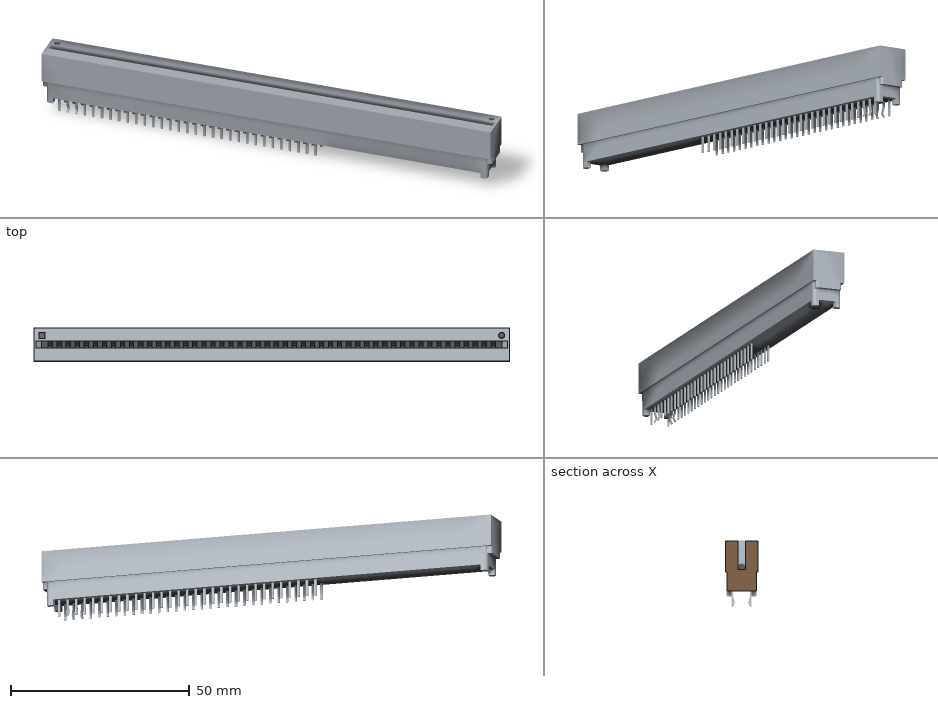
import cadquery as cq


length = 133.6
width = 9.35
total_height = 18.67
pin_tip_z = -2.97
top_z = total_height + pin_tip_z

head_height = 8.85
flange_drop = 10.86
base_drop = 14.08
head_bottom_z = top_z - head_height
flange_bottom_z = top_z - flange_drop
base_bottom_z = top_z - base_drop

base_length = 131.0
base_width = 8.4
base_corner_radius = 0.9
flange_width = 7.6
flange_corner_radius = 0.65
foot_length = 1.95
foot_width = 1.75

groove_length = 132.4
groove_width = 2.0
groove_depth = 8.0
ramp_run = 1.55

pitch = 2.54
well_count = 50
well_length = 1.2
well_bottom_width = 0.4
well_depth = 1.28
first_contact_x = -(well_count - 1) * pitch / 2

mark_x = 64.55
mark_y = 2.6
mark_size = 1.65
mark_depth = 2.0

pin_count = 31
pin_width = 0.65
pin_thickness = 0.4
pin_row_y = 2.54
pin_embed = 1.0
kinked_pins = (1, 2)
kink_start_z = -0.2
kink_crest_z = -1.9
kink_end_z = -2.75
kink_offset = 0.5


def block(size_x, size_y, bottom, top):
    """Box centred on the Z axis between two levels."""
    box = cq.Workplane("XY").box(size_x, size_y, top - bottom, centered=(True, True, False))
    return box.translate((0, 0, bottom))


def make_feet():
    """Four corner feet that share the rounded corners of the lower housing."""
    feet = block(base_length, base_width, 0, base_bottom_z).edges("|Z").fillet(base_corner_radius)
    feet = feet.cut(block(base_length - 2 * foot_length, base_width, 0, base_bottom_z))
    return feet.cut(block(base_length, base_width - 2 * foot_width, 0, base_bottom_z))


def make_housing():
    """Wide head over a narrower base, with end flanges and corner feet."""
    head = block(length, width, head_bottom_z, top_z)
    base = block(base_length, base_width, base_bottom_z, head_bottom_z)
    base = base.edges("|Z").fillet(base_corner_radius)
    flange = block(length, flange_width, flange_bottom_z, head_bottom_z)
    flange = flange.edges("|Z").fillet(flange_corner_radius)
    return head.union(base).union(flange).union(make_feet())


def make_groove():
    """Card groove profile in XZ, swept over the groove width."""
    half_top = groove_length / 2
    half_floor = half_top - ramp_run
    ramp_end_z = top_z - ramp_run
    floor_z = top_z - groove_depth
    outline = [
        (-half_top, top_z),
        (-half_floor, ramp_end_z),
        (-half_floor, floor_z),
        (half_floor, floor_z),
        (half_floor, ramp_end_z),
        (half_top, top_z),
    ]
    return cq.Workplane("XZ").polyline(outline).close().extrude(groove_width / 2, both=True)


def make_wells():
    """Row of tapered contact wells below the groove floor."""
    rim_z = top_z - groove_depth
    bottom_z = rim_z - well_depth
    outline = [
        (-groove_width / 2, rim_z),
        (-well_bottom_width / 2, bottom_z),
        (well_bottom_width / 2, bottom_z),
        (groove_width / 2, rim_z),
    ]
    well = cq.Workplane("YZ").polyline(outline).close().extrude(well_length / 2, both=True).val()
    places = [cq.Location(cq.Vector(first_contact_x + i * pitch, 0, 0)) for i in range(well_count)]
    return cq.Workplane(cq.Compound.makeCompound([well.moved(place) for place in places]))


def make_marks():
    """Square and round recesses at opposite ends of the top face."""
    floor = cq.Workplane("XY").workplane(offset=top_z - mark_depth)
    square = floor.center(-mark_x, mark_y).rect(mark_size, mark_size).extrude(mark_depth)
    circle = floor.center(mark_x, mark_y).circle(mark_size / 2).extrude(mark_depth)
    return square.union(circle)


def make_pin(kinked):
    """Pin of the -Y row at X = 0; a kinked pin bows toward the centre line."""
    root_z = base_bottom_z + pin_embed
    path = [(-pin_row_y, root_z), (-pin_row_y, pin_tip_z)]
    if kinked:
        path[1:1] = [
            (-pin_row_y, kink_start_z),
            (-pin_row_y + kink_offset, kink_crest_z),
            (-pin_row_y, kink_end_z),
        ]
    outer_side = [(y - pin_thickness / 2, z) for y, z in path]
    inner_side = [(y + pin_thickness / 2, z) for y, z in reversed(path)]
    outline = cq.Workplane("YZ").polyline(outer_side + inner_side).close()
    return outline.extrude(pin_width / 2, both=True)


def make_pins():
    """Two mirrored rows of pins."""
    pins = []
    for i in range(pin_count):
        pin = make_pin(i in kinked_pins).translate((first_contact_x + i * pitch, 0, 0))
        pins += [pin.val(), pin.mirror("XZ").val()]
    return cq.Workplane(cq.Compound.makeCompound(pins))


housing = make_housing().cut(make_groove()).cut(make_wells()).cut(make_marks())
result = housing.union(make_pins())